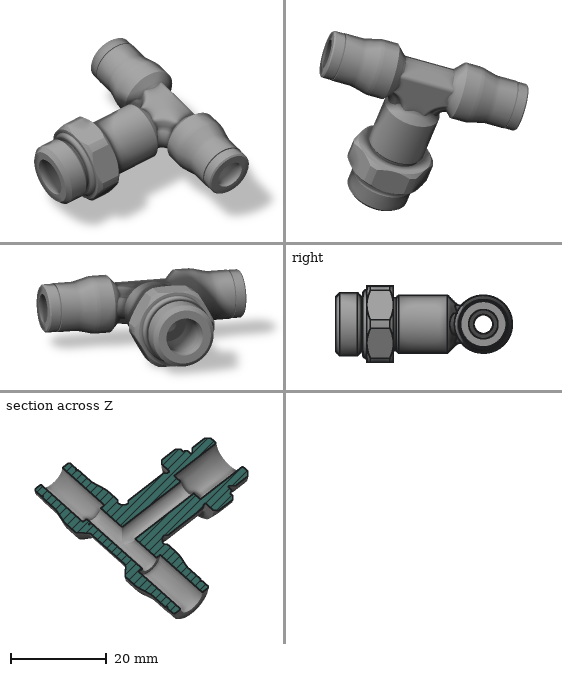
import cadquery as cq
import math

ARM_END = 21.5
BODY_RADIUS = 6.05
SHOULDER = 7.52
COLLAR_TAPER = 1.7
NECK_RADIUS = BODY_RADIUS - COLLAR_TAPER
NECK_BLEND = 0.47
BORE_RADIUS = 1.98

SLEEVE_RADIUS = 5.15
FLARE_INNER = 11.1
FLARE_OUTER = 14.65
FLARE_BLEND = 0.4
GROOVE_INNER = 18.95
GROOVE_OUTER = 19.2
GROOVE_RADIUS = 4.8
BUTTON_RADIUS = 5.07
BUTTON_CHAMFER = 0.3
TUBE_SOCKET_RADIUS = 3.05
TUBE_SOCKET_DEPTH = 12.9

SLEEVE_END = 17.7
RELIEF_RADIUS = 5.55
HEX_START = 18.85
HEX_END = 24.4
HEX_ACROSS_FLATS = 16.0
HEX_TURN = 30.0
HEX_CORNER_RADIUS = 8.77
HEX_CHAMFER = 0.75
SEAL_END = 25.2
SEAL_RADIUS = 7.22
SEAL_RIM_RADIUS = 6.6
UNDERCUT_END = 25.55
UNDERCUT_RADIUS = 5.75
THREAD_RADIUS = 6.62
THREAD_CHAMFER = 0.9
STEM_END = 30.9
STEM_SOCKET_RADIUS = 4.0
STEM_SOCKET_DEPTH = STEM_END - HEX_START

CORE_HALF = 4.0
CORE_FLAT = 1.65
SLOPE_ANGLE = 60.0
EDGE_ROUNDING = 0.9
INNER_CORNER = 7.2
RIB_RADIUS = 1.65
RIB_HALF = 2.25
LEDGE_WIDTH = 0.35
LEDGE_START = 3.2

slope = math.radians(SLOPE_ANGLE)
ROUNDING_WIDTH = EDGE_ROUNDING * math.sin(slope)
ROUNDING_DROP = EDGE_ROUNDING * (1 - math.cos(slope))


def make_arm():
    """Right-hand tube arm, revolved about X."""
    angle = math.atan2(BODY_RADIUS - SLEEVE_RADIUS, FLARE_OUTER - FLARE_INNER)
    step_x = FLARE_BLEND * math.cos(angle)
    step_r = FLARE_BLEND * math.sin(angle)
    neck = SHOULDER - COLLAR_TAPER
    profile = (
        cq.Workplane("XY")
        .moveTo(0, 0)
        .lineTo(neck - NECK_BLEND, 0)
        .lineTo(neck - NECK_BLEND, CORE_HALF)
        .lineTo(neck, NECK_RADIUS)
        .lineTo(SHOULDER, BODY_RADIUS)
        .lineTo(FLARE_INNER - FLARE_BLEND, BODY_RADIUS)
        .tangentArcPoint((FLARE_INNER + step_x, BODY_RADIUS - step_r), relative=False)
        .lineTo(FLARE_OUTER - step_x, SLEEVE_RADIUS + step_r)
        .tangentArcPoint((FLARE_OUTER + FLARE_BLEND, SLEEVE_RADIUS), relative=False)
        .lineTo(GROOVE_INNER, SLEEVE_RADIUS)
        .lineTo(GROOVE_INNER, GROOVE_RADIUS)
        .lineTo(GROOVE_OUTER, GROOVE_RADIUS)
        .lineTo(GROOVE_OUTER, BUTTON_RADIUS)
        .lineTo(ARM_END - BUTTON_CHAMFER, BUTTON_RADIUS)
        .lineTo(ARM_END, BUTTON_RADIUS - BUTTON_CHAMFER)
        .lineTo(ARM_END, 0)
        .close()
    )
    return profile.revolve(360, (0, 0, 0), (1, 0, 0))


def make_stem():
    """Turned stem with sleeve, seal ring and thread, revolved about Y."""
    neck = SHOULDER - COLLAR_TAPER
    relief_step = BODY_RADIUS - RELIEF_RADIUS
    thread_step = THREAD_RADIUS - UNDERCUT_RADIUS
    profile = (
        cq.Workplane("XY")
        .moveTo(0, NECK_BLEND - neck)
        .lineTo(CORE_HALF, NECK_BLEND - neck)
        .lineTo(NECK_RADIUS, -neck)
        .lineTo(BODY_RADIUS, -SHOULDER)
        .lineTo(BODY_RADIUS, -SLEEVE_END)
        .lineTo(RELIEF_RADIUS, -SLEEVE_END - relief_step)
        .lineTo(RELIEF_RADIUS, -HEX_START)
        .lineTo(SEAL_RADIUS, -HEX_START)
        .lineTo(SEAL_RADIUS, -HEX_END)
        .tangentArcPoint((SEAL_RIM_RADIUS, -SEAL_END), relative=False)
        .lineTo(UNDERCUT_RADIUS, -SEAL_END)
        .lineTo(UNDERCUT_RADIUS, -UNDERCUT_END)
        .lineTo(THREAD_RADIUS, -UNDERCUT_END - thread_step)
        .lineTo(THREAD_RADIUS, THREAD_CHAMFER - STEM_END)
        .lineTo(THREAD_RADIUS - THREAD_CHAMFER, -STEM_END)
        .lineTo(0, -STEM_END)
        .close()
    )
    return profile.revolve(360, (0, 0, 0), (0, 1, 0))


def make_hexagon():
    """Hexagon with flats facing +Z and -Z, corners turned down and chamfered at both ends."""
    prism = (
        cq.Workplane("XZ", origin=(0, -HEX_START, 0))
        .polygon(6, HEX_ACROSS_FLATS, circumscribed=True)
        .extrude(HEX_END - HEX_START)
    )
    turned = (
        cq.Workplane("XZ", origin=(0, -HEX_START, 0))
        .circle(HEX_CORNER_RADIUS)
        .extrude(HEX_END - HEX_START)
        .edges()
        .chamfer(HEX_CHAMFER, HEX_CORNER_RADIUS - HEX_ACROSS_FLATS / 2)
    )
    return prism.rotate((0, 0, 0), (0, 1, 0), HEX_TURN).intersect(turned)


def make_corner_cutter():
    """Revolved space that hollows an inner corner down to slope, ledge and rounded rib."""
    flat_edge = INNER_CORNER - CORE_FLAT
    slope_top = (flat_edge - ROUNDING_WIDTH, CORE_HALF - ROUNDING_DROP)
    rounding_middle = (
        flat_edge - EDGE_ROUNDING * math.sin(slope / 2),
        CORE_HALF - EDGE_ROUNDING * (1 - math.cos(slope / 2)),
    )
    ledge_end = LEDGE_START + LEDGE_WIDTH
    run = slope_top[0] - ledge_end
    drop = slope_top[1] - RIB_HALF
    lower = (run - drop / math.tan(slope)) / math.tan(slope / 2)
    slope_bottom = (ledge_end + lower * math.sin(slope), RIB_HALF + lower * (1 - math.cos(slope)))
    profile = (
        cq.Workplane("XZ")
        .moveTo(0, CORE_HALF)
        .lineTo(flat_edge, CORE_HALF)
        .threePointArc(rounding_middle, slope_top)
        .lineTo(*slope_bottom)
        .tangentArcPoint((ledge_end, RIB_HALF), relative=False)
        .lineTo(LEDGE_START, RIB_HALF)
        .threePointArc((RIB_RADIUS, 0), (LEDGE_START, -RIB_HALF))
        .lineTo(ledge_end, -RIB_HALF)
        .tangentArcPoint((slope_bottom[0], -slope_bottom[1]), relative=False)
        .lineTo(slope_top[0], -slope_top[1])
        .tangentArcPoint((flat_edge, -CORE_HALF), relative=False)
        .lineTo(0, -CORE_HALF)
        .close()
    )
    return profile.revolve(360, (0, 0, 0), (0, 1, 0))


def make_core():
    """Core block: flat top and bottom, sloped back, swept inner corners towards the stem."""
    slope_start = CORE_FLAT + ROUNDING_WIDTH
    slope_top = CORE_HALF - ROUNDING_DROP
    back_top = slope_top - (CORE_HALF - slope_start) * math.tan(slope)
    core = (
        cq.Workplane("YZ", origin=(-INNER_CORNER, 0, 0))
        .moveTo(-INNER_CORNER, CORE_HALF)
        .lineTo(CORE_FLAT, CORE_HALF)
        .tangentArcPoint((slope_start, slope_top), relative=False)
        .lineTo(CORE_HALF, back_top)
        .lineTo(CORE_HALF, -back_top)
        .lineTo(slope_start, -slope_top)
        .tangentArcPoint((CORE_FLAT, -CORE_HALF), relative=False)
        .lineTo(-INNER_CORNER, -CORE_HALF)
        .close()
        .extrude(2 * INNER_CORNER)
    )
    cutter = make_corner_cutter()
    for side in (-1, 1):
        core = core.cut(cutter.translate((side * INNER_CORNER, -INNER_CORNER, 0)))
    return core


def make_bores():
    """Through bore along X with tube sockets, and the stepped bore of the stem."""
    run = cq.Workplane("YZ", origin=(-ARM_END, 0, 0)).circle(BORE_RADIUS).extrude(2 * ARM_END)
    socket = (
        cq.Workplane("YZ", origin=(ARM_END - TUBE_SOCKET_DEPTH, 0, 0))
        .circle(TUBE_SOCKET_RADIUS)
        .extrude(TUBE_SOCKET_DEPTH)
    )
    branch = cq.Workplane("XZ").circle(BORE_RADIUS).extrude(STEM_END)
    stem_socket = (
        cq.Workplane("XZ", origin=(0, STEM_SOCKET_DEPTH - STEM_END, 0))
        .circle(STEM_SOCKET_RADIUS)
        .extrude(STEM_SOCKET_DEPTH)
    )
    return run.union(socket).union(socket.mirror("YZ")).union(branch).union(stem_socket)


arm = make_arm()
result = (
    make_core()
    .union(arm)
    .union(arm.mirror("YZ"))
    .union(make_stem())
    .union(make_hexagon())
    .cut(make_bores())
)